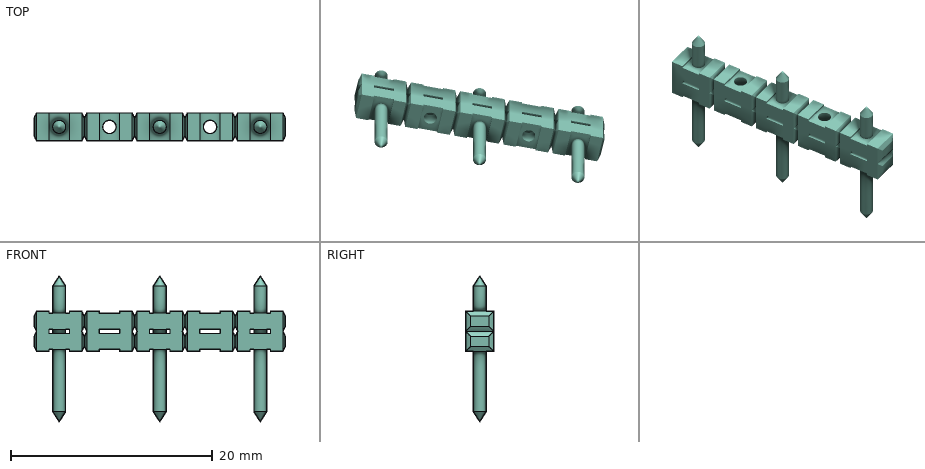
import cadquery as cq

pitch = 5.0
block_count = 5
row_depth = 2.8
block_height = 4.0

pad_projection = 0.25
pad_inset = 0.5
pads_per_end = 2

channel_width = 2.0
channel_depth = 0.2
window_height = 0.4

pin_diameter = 1.3
pin_above_block = 3.5
pin_below_block = 7.0
pin_tip_length = 1.0
blocks_per_pin = 2

block_width = pitch - 2 * pad_projection
pad_height = block_height / pads_per_end
pin_radius = pin_diameter / 2
block_centres = [(i - (block_count - 1) / 2) * pitch for i in range(block_count)]


def make_pad(side, level):
    """Four-sided tapered pad on the -X (side = -1) or +X (side = 1) end of a block."""
    base_plane = cq.Plane(
        origin=(side * block_width / 2, 0, level), xDir=(0, 1, 0), normal=(side, 0, 0)
    )
    return (
        cq.Workplane(base_plane)
        .rect(row_depth, pad_height)
        .workplane(offset=pad_projection)
        .rect(row_depth - 2 * pad_inset, pad_height - 2 * pad_inset)
        .loft(ruled=True)
    )


def make_block():
    """One housing block with end pads, channels, window and a vertical pin hole."""
    block = cq.Workplane("XY").box(block_width, row_depth, block_height)
    for side in (-1, 1):
        for row in range(pads_per_end):
            level = (row + 0.5) * pad_height - block_height / 2
            block = block.union(make_pad(side, level))

    channel = cq.Workplane("XY").box(channel_width, row_depth, 2 * channel_depth)
    for level in (-block_height / 2, block_height / 2):
        block = block.cut(channel.translate((0, 0, level)))

    window = cq.Workplane("XY").box(channel_width, row_depth, window_height)
    pin_hole = cq.Workplane("XY").circle(pin_radius).extrude(block_height, both=True)
    return block.cut(window).cut(pin_hole)


def make_pin():
    """Round pin pointed at both ends, turned about the Z axis."""
    top = block_height / 2 + pin_above_block
    bottom = -block_height / 2 - pin_below_block
    return (
        cq.Workplane("XZ")
        .moveTo(0, bottom)
        .lineTo(pin_radius, bottom + pin_tip_length)
        .lineTo(pin_radius, top - pin_tip_length)
        .lineTo(0, top)
        .close()
        .revolve(360, (0, 0, 0), (0, 1, 0))
    )


open_block = make_block()
pinned_block = open_block.union(make_pin())

result = cq.Workplane("XY")
for index, centre in enumerate(block_centres):
    block = pinned_block if index % blocks_per_pin == 0 else open_block
    result = result.union(block.translate((centre, 0, 0)))